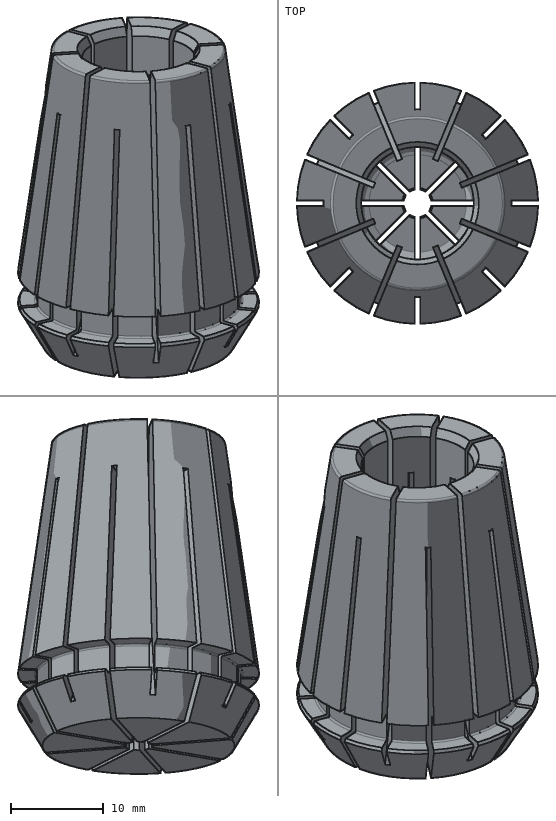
import cadquery as cq
import math

LENGTH = 34.0
MAX_RADIUS = 13.0
LONG_TAPER = 8.0
NOSE_TAPER = 30.0
TOP_ROUND = 0.27

GROOVE_BOTTOM = 4.93
GROOVE_TOP = 8.13
GROOVE_RADIUS = 11.0
GROOVE_ROUND = 0.2
LIP_CHAMFER_WIDTH = 0.2
LIP_CHAMFER_HEIGHT = 0.35

SMALL_BORE_RADIUS = 1.5
SMALL_BORE_CHAMFER = 0.17
LARGE_BORE_RADIUS = 6.05
LARGE_BORE_FLOOR = 19.38
FLOOR_ROUND = 0.8
MOUTH_CHAMFER_WIDTH = 0.55
MOUTH_CHAMFER_HEIGHT = 0.95

SLOTS_PER_END = 8
SLOT_WIDTH = 0.58
LOWER_SLOT_TOP = 28.55
UPPER_SLOT_BOTTOM = 2.2
UPPER_SLOT_INNER_RADIUS = 5.03

OVERCUT = 1.7

SLOT_PITCH = 360.0 / SLOTS_PER_END
LIP_EDGE_HEIGHT = GROOVE_BOTTOM - LIP_CHAMFER_HEIGHT
NOSE_SLOPE = math.tan(math.radians(NOSE_TAPER))
NOSE_RADIUS = MAX_RADIUS - LIP_EDGE_HEIGHT * NOSE_SLOPE
TOP_RADIUS = MAX_RADIUS - (LENGTH - GROOVE_TOP) * math.tan(math.radians(LONG_TAPER))


def revolve_profile(profile):
    """Turn a closed radius-height outline about the Z axis."""
    return profile.close().revolve(360, (0, 0, 0), (0, 1, 0))


def make_body():
    outline = (
        cq.Workplane("XZ")
        .moveTo(0, 0)
        .lineTo(NOSE_RADIUS, 0)
        .lineTo(MAX_RADIUS, LIP_EDGE_HEIGHT)
        .lineTo(MAX_RADIUS - LIP_CHAMFER_WIDTH, GROOVE_BOTTOM)
        .lineTo(GROOVE_RADIUS + GROOVE_ROUND, GROOVE_BOTTOM)
        .radiusArc((GROOVE_RADIUS, GROOVE_BOTTOM + GROOVE_ROUND), GROOVE_ROUND)
        .lineTo(GROOVE_RADIUS, GROOVE_TOP - GROOVE_ROUND)
        .radiusArc((GROOVE_RADIUS + GROOVE_ROUND, GROOVE_TOP), GROOVE_ROUND)
        .lineTo(MAX_RADIUS, GROOVE_TOP)
        .lineTo(TOP_RADIUS, LENGTH)
        .lineTo(0, LENGTH)
    )
    return revolve_profile(outline).faces(">Z").edges().fillet(TOP_ROUND)


def make_bores():
    """Small through bore opening into a large bore with a rounded floor corner; both mouths chamfered."""
    outline = (
        cq.Workplane("XZ")
        .moveTo(0, 0)
        .lineTo(SMALL_BORE_RADIUS, 0)
        .lineTo(SMALL_BORE_RADIUS, LARGE_BORE_FLOOR - SMALL_BORE_CHAMFER)
        .lineTo(SMALL_BORE_RADIUS + SMALL_BORE_CHAMFER, LARGE_BORE_FLOOR)
        .lineTo(LARGE_BORE_RADIUS - FLOOR_ROUND, LARGE_BORE_FLOOR)
        .radiusArc((LARGE_BORE_RADIUS, LARGE_BORE_FLOOR + FLOOR_ROUND), -FLOOR_ROUND)
        .lineTo(LARGE_BORE_RADIUS, LENGTH - MOUTH_CHAMFER_HEIGHT)
        .lineTo(LARGE_BORE_RADIUS + MOUTH_CHAMFER_WIDTH, LENGTH)
        .lineTo(0, LENGTH)
    )
    return revolve_profile(outline)


def make_lower_slot():
    """Slot on +X, open at the bottom and reaching the axis."""
    return cq.Workplane("XY").box(
        MAX_RADIUS + OVERCUT, SLOT_WIDTH, LOWER_SLOT_TOP, centered=(False, True, False)
    )


def make_upper_slot():
    """Slot on +X, open at the top, its end sloping from the bore floor down to the nose taper."""
    outer = MAX_RADIUS + OVERCUT
    exit_radius = NOSE_RADIUS + UPPER_SLOT_BOTTOM * NOSE_SLOPE
    outline = (
        cq.Workplane("XZ")
        .moveTo(UPPER_SLOT_INNER_RADIUS, LARGE_BORE_FLOOR)
        .lineTo(exit_radius, UPPER_SLOT_BOTTOM)
        .lineTo(outer, UPPER_SLOT_BOTTOM)
        .lineTo(outer, LENGTH + OVERCUT)
        .lineTo(UPPER_SLOT_INNER_RADIUS, LENGTH + OVERCUT)
        .close()
    )
    return outline.extrude(SLOT_WIDTH / 2, both=True)


def cut_around(body, cutter, start_angle):
    """Cut one copy of the cutter at each slot pitch around the axis."""
    for index in range(SLOTS_PER_END):
        angle = start_angle + index * SLOT_PITCH
        body = body.cut(cutter.rotate((0, 0, 0), (0, 0, 1), angle))
    return body


collet = make_body().cut(make_bores())
collet = cut_around(collet, make_lower_slot(), 0)
result = cut_around(collet, make_upper_slot(), SLOT_PITCH / 2)